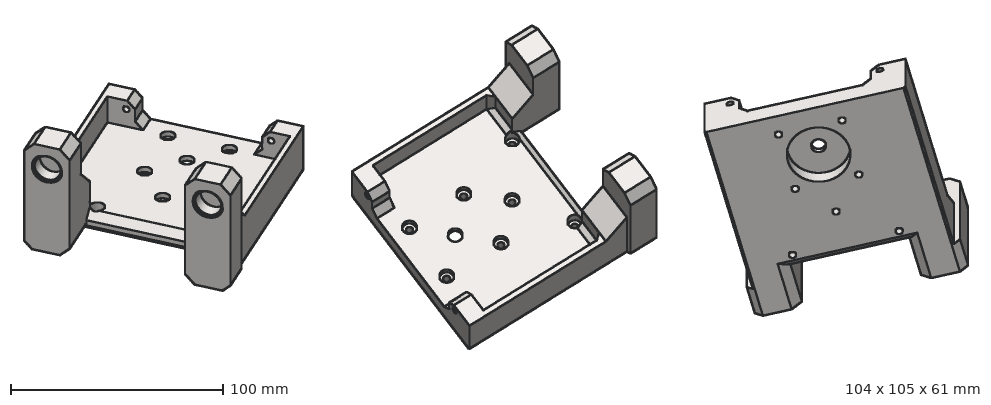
import cadquery as cq

WIDTH = 104.0
LENGTH = 105.0
HEIGHT = 61.0

POST_WIDTH = 23.0
POST_DEPTH = 15.0
POST_TOP_CHAMFER = 5.0
POST_OUTER_BOTTOM_CHAMFER = 4.0
POST_INNER_BOTTOM_CHAMFER = 5.0
POST_OUTER_X = WIDTH / 2
POST_INNER_X = POST_OUTER_X - POST_WIDTH

POST_OVERHANG = 3.0
TRAY_HALF_WIDTH = POST_OUTER_X - POST_OVERHANG
WALL_THICKNESS = 3.0
WALL_INNER_X = TRAY_HALF_WIDTH - WALL_THICKNESS
WALL_HEIGHT = 26.0
TRAY_EDGE_CHAMFER = POST_OUTER_BOTTOM_CHAMFER - POST_OVERHANG
FLOOR_TOP = 11.0
FLOOR_FRONT_Y = 22.0
FLOOR_FRONT_CHAMFER = 4.0
ARM_RISE = 12.0
ARM_BACK_Y = POST_DEPTH + ARM_RISE
ARM_FOOT = 3.0

BOSS_DEPTH = 10.0
BOSS_INNER_X = 32.0
BOSS_CHAMFER = 4.0
BOSS_HOLE_DIAMETER = 3.2
BOSS_HOLE_X = 36.5
BOSS_HOLE_Z = 21.0

BORE_DIAMETER = 13.1
BORE_MOUTH_DIAMETER = 15.1
BORE_MOUTH_DEPTH = 1.0
BORE_DEPTH = 8.0
BORE_X = POST_OUTER_X - POST_WIDTH / 2
BORE_BELOW_TOP = 13.0
BORE_Z = HEIGHT - BORE_BELOW_TOP

SCREW_DIAMETER = 3.4
COUNTERBORE_DIAMETER = 7.0
COUNTERBORE_DEPTH = 3.0
FRONT_COUNTERBORE_DEPTH = 6.0
PATTERN_PITCH = 31.0
PATTERN_FROM_REAR = 25.5
PATTERN_CENTER_Y = LENGTH - PATTERN_FROM_REAR
CENTER_HOLE_DIAMETER = 7.0
CENTER_HOLE_DEPTH = 3.0
RECESS_DIAMETER = 30.0
MIDDLE_SCREW_Y = 47.0
FRONT_SCREW_X = 26.0
FRONT_SCREW_Y = 29.0


def extrude_along_y(points, start_y, length):
    """Prism of an XZ outline running from start_y towards +Y."""
    return cq.Workplane("XZ", origin=(0, start_y, 0)).polyline(points).close().extrude(-length)


def extrude_along_x(points, start_x, length):
    """Prism of a YZ outline running from start_x towards +X."""
    return cq.Workplane("YZ", origin=(start_x, 0, 0)).polyline(points).close().extrude(length)


def both_sides(body):
    """The body together with its mirror image across the YZ plane."""
    return body.union(body.mirror("YZ"))


def make_floor():
    c = FLOOR_FRONT_CHAMFER
    outline = [
        (FLOOR_FRONT_Y + c, 0),
        (LENGTH, 0),
        (LENGTH, FLOOR_TOP),
        (FLOOR_FRONT_Y + c, FLOOR_TOP),
        (FLOOR_FRONT_Y, FLOOR_TOP - c),
        (FLOOR_FRONT_Y, c),
    ]
    return extrude_along_x(outline, -WALL_INNER_X, 2 * WALL_INNER_X)


def make_wall():
    outline = [
        (WALL_INNER_X, 0),
        (TRAY_HALF_WIDTH - TRAY_EDGE_CHAMFER, 0),
        (TRAY_HALF_WIDTH, TRAY_EDGE_CHAMFER),
        (TRAY_HALF_WIDTH, WALL_HEIGHT),
        (WALL_INNER_X, WALL_HEIGHT),
    ]
    return extrude_along_y(outline, POST_DEPTH, LENGTH - POST_DEPTH)


def make_arm():
    """Block behind a post whose top slopes down to the wall, with a sloped foot on the floor."""
    section = [
        (POST_INNER_X + POST_INNER_BOTTOM_CHAMFER, 0),
        (TRAY_HALF_WIDTH - TRAY_EDGE_CHAMFER, 0),
        (TRAY_HALF_WIDTH, TRAY_EDGE_CHAMFER),
        (TRAY_HALF_WIDTH, HEIGHT),
        (POST_INNER_X, HEIGHT),
        (POST_INNER_X, POST_INNER_BOTTOM_CHAMFER),
    ]
    side = [
        (POST_DEPTH, 0),
        (ARM_BACK_Y, 0),
        (ARM_BACK_Y, WALL_HEIGHT),
        (POST_DEPTH, WALL_HEIGHT + ARM_RISE),
    ]
    arm_depth = ARM_BACK_Y - POST_DEPTH
    block = extrude_along_y(section, POST_DEPTH, arm_depth)
    block = block.intersect(extrude_along_x(side, POST_INNER_X, POST_WIDTH))

    foot = [
        (ARM_BACK_Y, FLOOR_TOP),
        (ARM_BACK_Y + ARM_FOOT, FLOOR_TOP),
        (ARM_BACK_Y, FLOOR_TOP + ARM_FOOT),
    ]
    block = block.union(extrude_along_x(foot, POST_INNER_X, WALL_INNER_X - POST_INNER_X))

    corner = [
        (WALL_INNER_X, ARM_BACK_Y),
        (WALL_INNER_X, ARM_BACK_Y + ARM_FOOT),
        (WALL_INNER_X - ARM_FOOT, ARM_BACK_Y),
    ]
    corner_fill = cq.Workplane("XY", origin=(0, 0, FLOOR_TOP)).polyline(corner).close()
    return block.union(corner_fill.extrude(WALL_HEIGHT - FLOOR_TOP))


def make_post():
    post = cq.Workplane("XY").box(POST_WIDTH, POST_DEPTH, HEIGHT, centered=(True, False, False))
    post = post.edges("|Y and >Z").chamfer(POST_TOP_CHAMFER)
    post = post.edges("|Y and <Z and >X").chamfer(POST_OUTER_BOTTOM_CHAMFER)
    post = post.edges("|Y and <Z and <X").chamfer(POST_INNER_BOTTOM_CHAMFER)
    post = post.translate((BORE_X, 0, 0))
    bore_face = cq.Workplane("XZ", origin=(BORE_X, 0, BORE_Z))
    bore = bore_face.circle(BORE_DIAMETER / 2).extrude(-BORE_DEPTH)
    mouth = bore_face.circle(BORE_MOUTH_DIAMETER / 2).extrude(-BORE_MOUTH_DEPTH)
    return post.cut(bore).cut(mouth)


def make_boss():
    c = BOSS_CHAMFER
    outline = [
        (WALL_INNER_X, FLOOR_TOP),
        (WALL_INNER_X, WALL_HEIGHT),
        (BOSS_INNER_X + c, WALL_HEIGHT),
        (BOSS_INNER_X, WALL_HEIGHT - c),
        (BOSS_INNER_X, FLOOR_TOP + c),
        (BOSS_INNER_X - c, FLOOR_TOP),
    ]
    boss = extrude_along_y(outline, LENGTH - BOSS_DEPTH, BOSS_DEPTH)
    hole_plane = cq.Workplane("XZ", origin=(BOSS_HOLE_X, LENGTH, BOSS_HOLE_Z))
    return boss.cut(hole_plane.circle(BOSS_HOLE_DIAMETER / 2).extrude(BOSS_DEPTH))


def main_screw_centers():
    """Square pattern of four screws and a single screw on the centre line in front of it."""
    half_pitch = PATTERN_PITCH / 2
    centers = [(0, MIDDLE_SCREW_Y)]
    for column in (-1, 1):
        for row in (-1, 1):
            centers.append((column * half_pitch, PATTERN_CENTER_Y + row * half_pitch))
    return centers


def front_screw_centers():
    return [(side * FRONT_SCREW_X, FRONT_SCREW_Y) for side in (-1, 1)]


def cut_screw_holes(body, centers, counterbore_depth):
    """Through holes counterbored from above, the counterbores also clearing the arm feet."""
    shanks = cq.Workplane("XY").pushPoints(centers).circle(SCREW_DIAMETER / 2).extrude(FLOOR_TOP)
    seat_z = FLOOR_TOP - counterbore_depth
    seats = cq.Workplane("XY", origin=(0, 0, seat_z)).pushPoints(centers)
    heads = seats.circle(COUNTERBORE_DIAMETER / 2).extrude(WALL_HEIGHT - seat_z)
    return body.cut(shanks).cut(heads)


def cut_center_hole(body):
    """Central through hole that opens into a round recess in the underside."""
    base = cq.Workplane("XY", origin=(0, PATTERN_CENTER_Y, 0))
    hole = base.circle(CENTER_HOLE_DIAMETER / 2).extrude(FLOOR_TOP)
    recess = base.circle(RECESS_DIAMETER / 2).extrude(FLOOR_TOP - CENTER_HOLE_DEPTH)
    return body.cut(hole).cut(recess)


side_parts = make_wall().union(make_arm()).union(make_post()).union(make_boss())
bracket = make_floor().union(both_sides(side_parts))
bracket = cut_screw_holes(bracket, main_screw_centers(), COUNTERBORE_DEPTH)
bracket = cut_screw_holes(bracket, front_screw_centers(), FRONT_COUNTERBORE_DEPTH)
bracket = cut_center_hole(bracket)
result = bracket.clean()